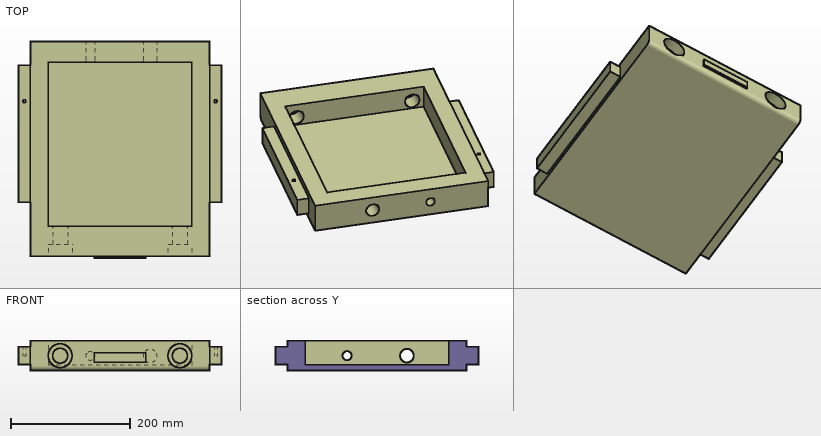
import cadquery as cq

overall_width = 340.0
overall_length = 363.0
height = 50.0

body_width = 300.0
plate_thickness = 3.0
body_length = overall_length - plate_thickness
mid_height = height / 2
front_edge_radius = 7.5

side_wall = 30.0
front_wall = 50.0
back_wall = 35.0
pocket_depth = 40.0
pocket_width = body_width - 2 * side_wall
pocket_length = body_length - front_wall - back_wall

rail_width = (overall_width - body_width) / 2
rail_length = 229.8
rail_height = 30.0
rail_back_gap = 40.0
rail_center_y = body_length - rail_back_gap - rail_length / 2
pin_hole_diameter = 5.0
pin_hole_depth = 15.0
pin_hole_back_gap = 100.2

front_hole_offset = 100.2
counterbore_diameter = 40.0
counterbore_depth = 20.0
front_bore_diameter = 25.0

back_hole_offset = 50.0
left_back_hole_diameter = 15.0
right_back_hole_diameter = 22.5

plate_width = 85.5
plate_height = 16.0
plate_center_z = 22.0


def hole_along_y(x, diameter, start_y, depth):
    """Round cutter at mid height that runs from start_y toward +Y."""
    center = cq.Vector(x, start_y, mid_height)
    return cq.Workplane(cq.Solid.makeCylinder(diameter / 2, depth, center, cq.Vector(0, 1, 0)))


def make_body():
    body = cq.Workplane("XY").box(body_width, body_length, height, centered=(True, False, False))
    body = body.faces("<Y").edges("<Z").fillet(front_edge_radius)
    pocket = (
        cq.Workplane("XY")
        .box(pocket_width, pocket_length, pocket_depth, centered=(True, False, False))
        .translate((0, front_wall, height - pocket_depth))
    )
    return body.cut(pocket)


def make_rail(side):
    """Rail with its blind pin hole in the top; side is -1 for left and 1 for right."""
    center_x = side * (body_width + rail_width) / 2
    rail = (
        cq.Workplane("XY")
        .box(rail_width, rail_length, rail_height)
        .translate((center_x, rail_center_y, mid_height))
    )
    pin_hole_y = body_length - pin_hole_back_gap
    pin_hole = (
        cq.Workplane("XY", origin=(center_x, pin_hole_y, mid_height + rail_height / 2))
        .circle(pin_hole_diameter / 2)
        .extrude(-pin_hole_depth)
    )
    return rail.cut(pin_hole)


def make_front_plate():
    return (
        cq.Workplane("XY")
        .box(plate_width, plate_thickness, plate_height)
        .translate((0, -plate_thickness / 2, plate_center_z))
    )


result = make_body().union(make_front_plate())

for side in (-1, 1):
    result = result.union(make_rail(side))
    hole_x = side * front_hole_offset
    result = result.cut(hole_along_y(hole_x, counterbore_diameter, 0, counterbore_depth))
    result = result.cut(hole_along_y(hole_x, front_bore_diameter, 0, front_wall))

back_wall_start = body_length - back_wall
back_holes = ((-back_hole_offset, left_back_hole_diameter), (back_hole_offset, right_back_hole_diameter))
for hole_x, diameter in back_holes:
    result = result.cut(hole_along_y(hole_x, diameter, back_wall_start, back_wall))